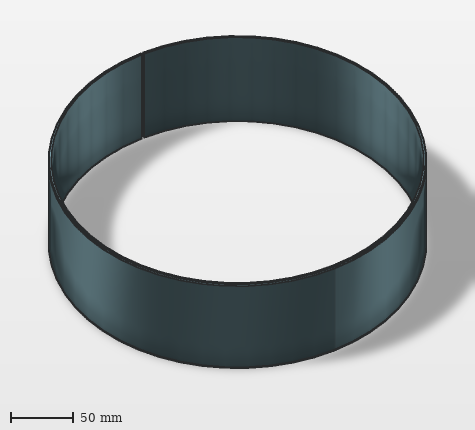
import cadquery as cq

outer_diameter = 305.0
height = 90.0
wall = 2.32
bevel_height = 1.5
bevel_depth = 0.5
slit_width = 2.5

outer_radius = outer_diameter / 2
inner_radius = outer_radius - wall
rim_radius = outer_radius - bevel_depth


def make_band():
    """Ring with a steep bevel on the outer edge of both rims."""
    wall_section = [
        (inner_radius, 0),
        (rim_radius, 0),
        (outer_radius, bevel_height),
        (outer_radius, height - bevel_height),
        (rim_radius, height),
        (inner_radius, height),
    ]
    return cq.Workplane("XZ").polyline(wall_section).close().revolve(360, (0, 0), (0, 1))


def make_slit():
    """Full-height cut through the -X wall, with one side on the XZ plane."""
    slit_depth = 4 * wall
    return (
        cq.Workplane("XY")
        .box(slit_depth, slit_width, height, centered=(True, False, False))
        .translate((-outer_radius, 0, 0))
    )


result = make_band().cut(make_slit())